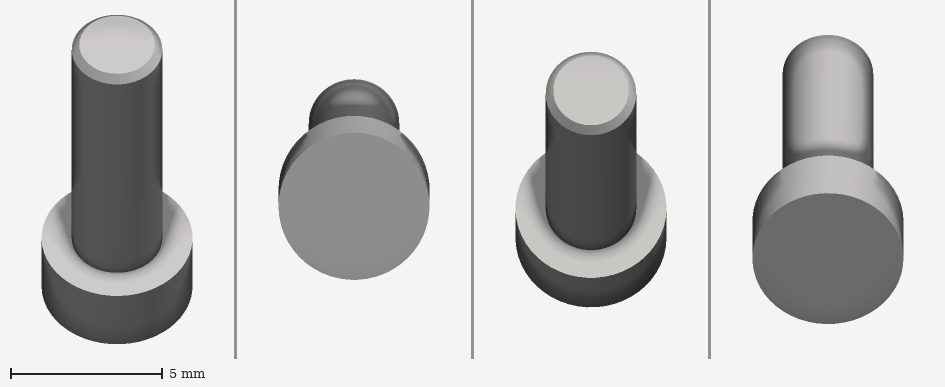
import cadquery as cq

total_length = 12.5
head_diameter = 5.0
head_height = 2.5
shank_diameter = 3.0
tip_chamfer = 0.25

shank_length = total_length - head_height

head = cq.Workplane("XY").circle(head_diameter / 2).extrude(head_height)

shank = (
    cq.Workplane("XY")
    .workplane(offset=head_height)
    .circle(shank_diameter / 2)
    .extrude(shank_length)
    .faces(">Z")
    .chamfer(tip_chamfer)
)

result = head.union(shank)